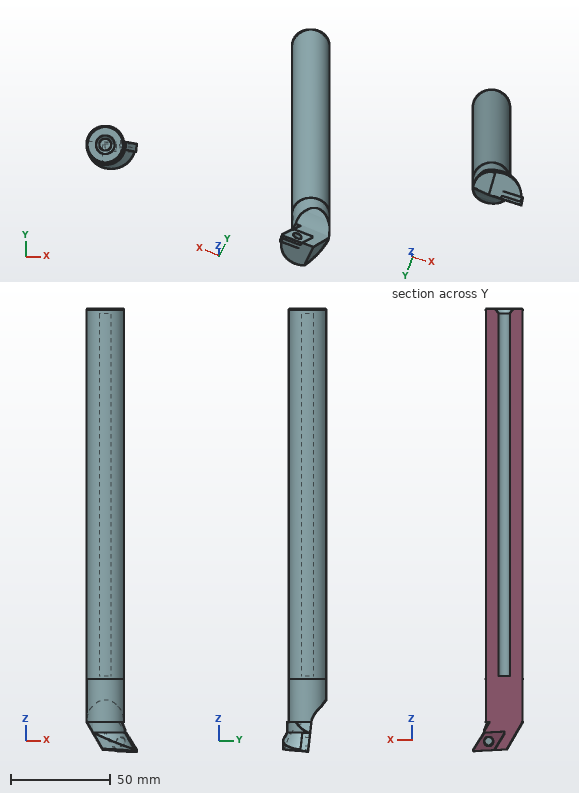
import cadquery as cq
import math

overall_length = 223.5
head_length = 36.8

shank_diameter = 19.04
shank_chamfer = 0.6
coolant_diameter = 6.0
coolant_depth = 185.0
countersink_diameter = 9.4
countersink_depth = 2.4

head_diameter = 18.94
band_radius = 10.25
band_top = 15.2
band_bottom = 9.9
flare_angle = 30.0
nose_radius = 12.27
nose_center_x = 3.0

back_angle = 30.0
back_height = 15.4

rake_height = 16.3
gash_lip_y = 7.0
gash_lip_z = 23.1
gash_sag = 0.5
gash_top = 26.4

end_rise_angle = 3.0
end_setback = 0.3
side_setback = 0.3

insert_angle = 55.0
inscribed_diameter = 9.525
insert_thickness = 3.97
insert_clearance = 7.0
insert_nose_radius = 0.8
insert_hole_diameter = 4.4
insert_reach = 16.02
edge_lead = 3.0
rake_tilt = 6.5
tip_y = 0.3

margin = 40.0

shank_radius = shank_diameter / 2
head_radius = head_diameter / 2
insert_edge = inscribed_diameter / math.sin(math.radians(insert_angle))
side_angle = insert_angle + edge_lead
half_angle = math.radians(insert_angle / 2)
bisector = math.radians(insert_angle / 2 + edge_lead)
nose_offset = insert_nose_radius / math.sin(half_angle)
tip_x = insert_reach - insert_nose_radius + nose_offset * math.cos(bisector)
tip_z = insert_nose_radius - nose_offset * math.sin(bisector)

upright_plane = cq.Plane(origin=(0, tip_y, 0), xDir=(1, 0, 0), normal=(0, -1, 0))
rake_plane = upright_plane.rotated((-rake_tilt, 0, 0))


def along(angle, length):
    """Offset of given length from the tip, angle measured from -X toward +Z."""
    return (-length * math.cos(math.radians(angle)), length * math.sin(math.radians(angle)))


def make_insert_blank():
    """Rhombic insert without its hole, top face on the rake flat."""
    end_x, end_z = along(edge_lead, insert_edge)
    side_x, side_z = along(side_angle, insert_edge)
    outline = [
        (tip_x, tip_z),
        (tip_x + end_x, tip_z + end_z),
        (tip_x + end_x + side_x, tip_z + end_z + side_z),
        (tip_x + side_x, tip_z + side_z),
    ]
    rhombus = cq.Sketch().polygon(outline + outline[:1]).vertices().fillet(insert_nose_radius)
    return (
        cq.Workplane(rake_plane)
        .placeSketch(rhombus)
        .extrude(insert_thickness, taper=insert_clearance)
    )


def make_insert():
    """Insert with its clamping hole through the middle."""
    end_x, end_z = along(edge_lead, insert_edge / 2)
    side_x, side_z = along(side_angle, insert_edge / 2)
    hole = (
        cq.Workplane(rake_plane)
        .center(tip_x + end_x + side_x, tip_z + end_z + side_z)
        .circle(insert_hole_diameter / 2)
        .extrude(insert_thickness)
    )
    return make_insert_blank().cut(hole)


def make_shank():
    """Round shank with a chamfered top."""
    return (
        cq.Workplane("XY")
        .workplane(offset=head_length)
        .circle(shank_radius)
        .extrude(overall_length - head_length)
        .faces(">Z")
        .chamfer(shank_chamfer)
    )


def coolant_bore():
    """Countersunk bore along the shank."""
    bore_bottom = overall_length - coolant_depth
    bore_radius = coolant_diameter / 2
    profile = [
        (0, bore_bottom),
        (bore_radius, bore_bottom),
        (bore_radius, overall_length - countersink_depth),
        (countersink_diameter / 2, overall_length),
        (0, overall_length),
    ]
    return cq.Workplane("XZ").polyline(profile).close().revolve(360, (0, 0), (0, 1))


def make_nose():
    """Neck band and flaring cone, bounded by the nose wall."""
    flare_radius = band_radius + band_bottom * math.tan(math.radians(flare_angle))
    profile = [
        (0, 0),
        (flare_radius, 0),
        (band_radius, band_bottom),
        (band_radius, band_top),
        (0, band_top),
    ]
    cone = cq.Workplane("XZ").polyline(profile).close().revolve(360, (0, 0), (0, 1))
    wall = cq.Workplane("XY").center(nose_center_x, 0).circle(nose_radius).extrude(band_top)
    return cone.intersect(wall)


def back_cutter():
    """Wedge below the slanted flat on the -X side."""
    run = back_height * math.tan(math.radians(back_angle))
    profile = [
        (-head_radius, back_height),
        (run - head_radius, 0),
        (-margin, 0),
        (-margin, back_height),
    ]
    return cq.Workplane("XZ").polyline(profile).close().extrude(margin, both=True)


def rake_cutter():
    """Removes the +Y side down to the rake flat, with a hollow run-out."""
    rake_y_top = tip_y + rake_height * math.tan(math.radians(rake_tilt))
    lip = (gash_lip_y, gash_lip_z)
    return (
        cq.Workplane("YZ")
        .moveTo(tip_y, 0)
        .lineTo(rake_y_top, rake_height)
        .sagittaArc(lip, gash_sag)
        .lineTo(head_radius, gash_top)
        .lineTo(margin, gash_top)
        .lineTo(margin, 0)
        .close()
        .extrude(margin, both=True)
    )


def end_cutter():
    """Block whose tilted top is the end face of the nose."""
    block = cq.Workplane("XY").box(4 * margin, 4 * margin, margin)
    block = block.translate((0, 0, -margin / 2))
    block = block.rotate((0, 0, 0), (0, 1, 0), edge_lead)
    block = block.rotate((0, 0, 0), (1, 0, 0), -end_rise_angle)
    return block.translate((tip_x, tip_y, tip_z + end_setback))


def side_cutter():
    """Block that relieves the nose behind the side flank of the insert."""
    block = cq.Workplane("XY").box(2 * margin, 2 * margin, margin)
    block = block.translate((0, 0, margin / 2 - side_setback))
    block = block.rotate((0, 0, 0), (1, 0, 0), -insert_clearance)
    block = block.rotate((0, 0, 0), (0, 1, 0), side_angle)
    block = block.rotate((0, 0, 0), (1, 0, 0), -rake_tilt)
    return block.translate((tip_x, tip_y, tip_z))


def make_bar():
    """Shank and head in one piece, with the pocket for the insert."""
    head_cylinder = (
        cq.Workplane("XY")
        .workplane(offset=band_top)
        .circle(head_radius)
        .extrude(head_length - band_top)
    )
    head = head_cylinder.union(make_nose().cut(side_cutter()))
    for cutter in (back_cutter(), rake_cutter(), end_cutter(), make_insert_blank()):
        head = head.cut(cutter)
    return make_shank().union(head).cut(coolant_bore())


bar = make_bar()
insert = make_insert()
result = cq.Compound.makeCompound([bar.solids().val(), insert.solids().val()])